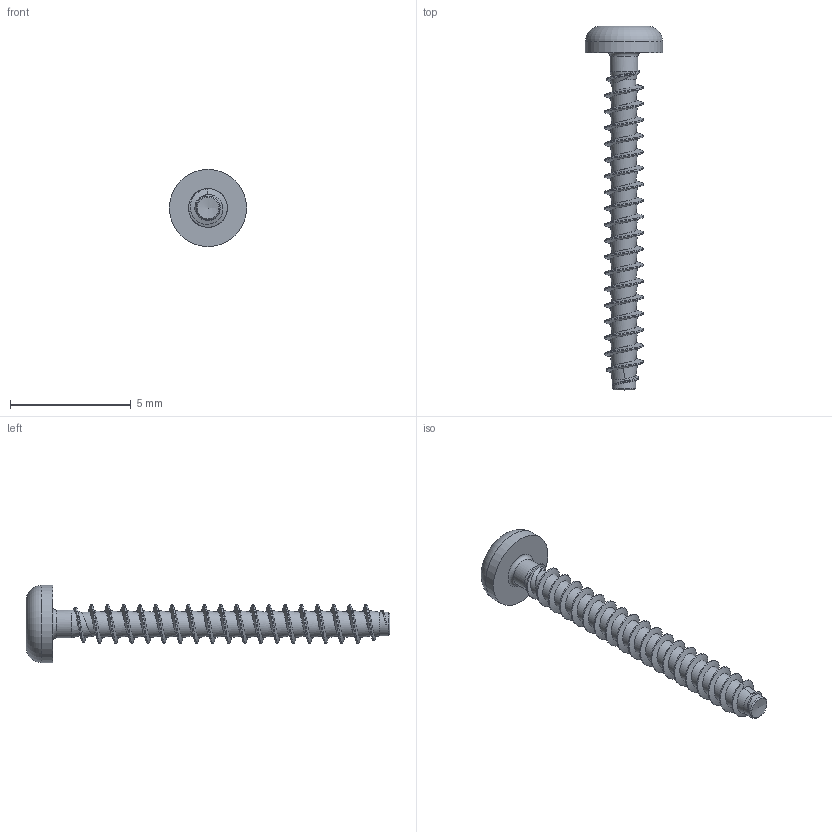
import cadquery as cq
import math


head_diameter = 3.2
head_height = 1.1
head_round_radius = 0.65

shank_length = 14.0
neck_diameter = 1.16
neck_length = 0.8
neck_fillet_radius = 0.16
core_diameter = 0.99
tip_chamfer = 0.05
tip_dish_depth = 0.05

pitch = 0.67
thread_diameter = 1.6
crest_width = 0.05
flank_angle = 15.0
root_shoulder_diameter = 1.12
thread_overlap = 0.06
turn_gap = 0.02
thread_start_height = 0.16
thread_start_angle = 180
tip_fade_turns = 1.25
full_thread_turns = 17.25
neck_fade_turns = 1.0
neck_end_crest_radius = 0.66
fade_width = 0.1

head_radius = head_diameter / 2
neck_radius = neck_diameter / 2
core_radius = core_diameter / 2
thread_radius = thread_diameter / 2
root_shoulder_radius = root_shoulder_diameter / 2
base_radius = core_radius - thread_overlap


def make_body():
    """Head, neck, core and dished tip, turned as one profile."""
    dish_edge_radius = core_radius - tip_chamfer
    dish_curve_radius = (dish_edge_radius**2 + tip_dish_depth**2) / (2 * tip_dish_depth)
    round_start = head_height - head_round_radius
    profile = (
        cq.Workplane("XZ")
        .moveTo(0, head_height)
        .lineTo(head_radius - head_round_radius, head_height)
        .radiusArc((head_radius, round_start), head_round_radius)
        .lineTo(head_radius, 0)
        .lineTo(neck_radius + neck_fillet_radius, 0)
        .radiusArc((neck_radius, -neck_fillet_radius), -neck_fillet_radius)
        .lineTo(neck_radius, -neck_length)
        .lineTo(core_radius, -neck_length - pitch / 2)
        .lineTo(core_radius, tip_chamfer - shank_length)
        .lineTo(dish_edge_radius, -shank_length)
        .radiusArc((0, tip_dish_depth - shank_length), -dish_curve_radius)
        .close()
    )
    return profile.revolve(360, (0, 0), (0, 1))


def full_section():
    """Corners (radius, axial offset) of the full thread, with its sloping root."""
    half_crest = crest_width / 2
    flank_slope = math.tan(math.radians(flank_angle))
    upper_base = half_crest + (thread_radius - base_radius) * flank_slope
    lower_shoulder = half_crest + (thread_radius - root_shoulder_radius) * flank_slope
    upper_root = half_crest + (thread_radius - core_radius) * flank_slope
    slope_end = pitch - upper_root - turn_gap
    return [
        (base_radius, upper_base),
        (thread_radius, half_crest),
        (thread_radius, -half_crest),
        (root_shoulder_radius, -lower_shoulder),
        (core_radius, -slope_end),
        (base_radius, -slope_end),
    ]


def faded_section(crest_radius):
    """Corners of the narrow section where the thread has faded to crest_radius."""
    half_width = fade_width / 2
    half_crest = crest_width / 2
    upper_middle = (2 * crest_radius + base_radius) / 3
    lower_middle = (crest_radius + 2 * base_radius) / 3
    return [
        (base_radius, half_width),
        (crest_radius, half_crest),
        (crest_radius, -half_crest),
        (upper_middle, -half_crest),
        (lower_middle, -half_width),
        (base_radius, -half_width),
    ]


def make_helix(lower_corner, upper_corner, turns):
    """Helix joining two section corners, its radius growing evenly as it climbs."""
    lower_radius, lower_offset = lower_corner
    upper_radius, upper_offset = upper_corner
    climb = turns * pitch + upper_offset - lower_offset
    growth = upper_radius - lower_radius
    cone_angle = math.degrees(math.atan2(growth, climb)) if growth else 360
    side_length = math.hypot(growth, climb)
    return cq.Wire.makeHelix(
        side_length / turns,
        side_length,
        lower_radius,
        cq.Vector(0, 0, lower_offset),
        angle=cone_angle,
    )


def thread_sides(lower_section, upper_section, turns):
    """Side faces of a stretch of thread that climbs from Z = 0 and the +X side."""
    helices = [make_helix(a, b, turns) for a, b in zip(lower_section, upper_section)]
    neighbours = helices[1:] + helices[:1]
    sides = [cq.Face.makeRuledSurface(a, b) for a, b in zip(helices, neighbours)]
    return cq.Compound.makeCompound(sides)


def section_face(section):
    """Flat end of the thread at Z = 0 on the +X side."""
    corners = [cq.Vector(radius, 0, offset) for radius, offset in section]
    return cq.Face.makeFromWires(cq.Wire.makePolygon(corners, close=True))


def place_on_helix(shape, turns):
    """Move a shape up the thread by a number of turns from its start."""
    origin = cq.Vector(0, 0, 0)
    axis = cq.Vector(0, 0, 1)
    start = thread_start_height - shank_length
    turned = shape.rotate(origin, axis, thread_start_angle + 360 * turns)
    return turned.translate(cq.Vector(0, 0, start + pitch * turns))


def make_thread():
    """Thread fading in from the tip, running at full depth and fading into the neck."""
    full = full_section()
    tip_faded = faded_section(core_radius)
    neck_faded = faded_section(neck_end_crest_radius)
    full_start = tip_fade_turns
    full_end = full_start + full_thread_turns
    thread_end = full_end + neck_fade_turns

    tip_fade = thread_sides(tip_faded, full, tip_fade_turns)
    full_thread = thread_sides(full, full, full_thread_turns)
    neck_fade = thread_sides(full, neck_faded, neck_fade_turns)

    pieces = [
        place_on_helix(section_face(tip_faded), 0),
        place_on_helix(tip_fade, 0),
        place_on_helix(full_thread, full_start),
        place_on_helix(neck_fade, full_end),
        place_on_helix(section_face(neck_faded), thread_end),
    ]
    faces = [face for piece in pieces for face in piece.Faces()]
    return cq.Solid.makeSolid(cq.Shell.makeShell(faces))


thread = make_thread()
upright_screw = make_body().union(cq.Workplane(thread))

result = upright_screw.rotate((0, 0, 0), (1, 0, 0), -90)